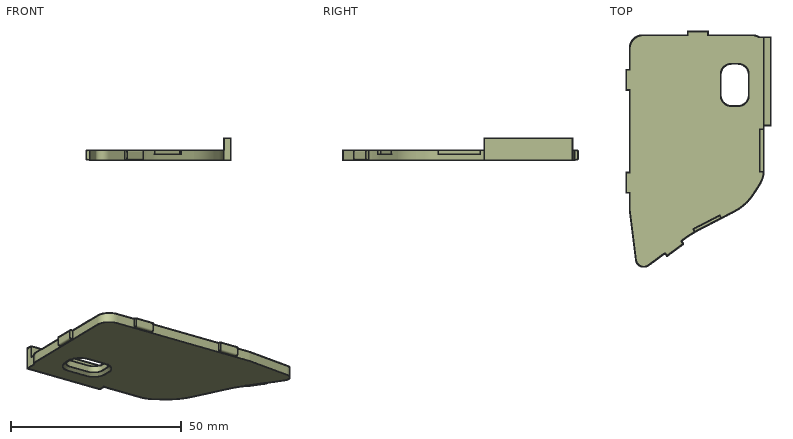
import cadquery as cq
import math

plate_thickness = 2.95
plate_width = 39.35
plate_top = 67.9

top_left = (0, plate_top)
top_right = (plate_width, plate_top)
right_bend = (plate_width, 26.05)
lower_bend = (34.2, 18.0)
inner_bend = (18.1, 9.7)
tip = (2.35, -1.9)
left_bend = (0, 16.7)
rounded_corners = [
    (top_left, 4.0),
    (top_right, 3.45),
    (right_bend, 8.0),
    (lower_bend, 15.0),
    (inner_bend, 24.8),
    (tip, 2.35),
]

bar_thickness = 2.1
bar_length = 25.9
bar_bottom = 41.35
bar_height = 6.5
bar_foot_overlap = 1.4

window_width = 8.1
window_length = 12.3
window_radius = 3.0
window_chamfer = 0.95
window_center = (30.8, 53.3)

tab_length = 6.0
tab_reach = 1.0
tab_root = 0.7
tab_rounding = 0.5
tab_bottom = 0.15
top_tab_x = 20
left_tab_ys = (54.7, 24.7)
lower_tab_distance = 12.95

step_depth = 1.25
side_step_width = 1.25
side_step_length = 12.35
side_step_bottom = 27.9
lower_step_width = 0.95
lower_step_length = 8.7
lower_step_distance = 5.45


def angle_between(start, end):
    """Direction from start to end, in degrees from +X."""
    return math.degrees(math.atan2(end[1] - start[1], end[0] - start[0]))


def point_along(start, end, distance):
    """Point at a distance from start toward end."""
    angle = math.radians(angle_between(start, end))
    return (start[0] + distance * math.cos(angle), start[1] + distance * math.sin(angle))


def place_on_edge(solid, point, angle):
    """Turn a solid whose local +Y points outward and move it to an edge point."""
    return solid.rotate((0, 0, 0), (0, 0, 1), angle).translate((point[0], point[1], 0))


def make_plate():
    outline = [top_left, top_right, right_bend, lower_bend, inner_bend, tip, left_bend]
    plate = cq.Workplane("XY").polyline(outline).close().extrude(plate_thickness)
    for (x, y), radius in rounded_corners:
        corner_edge = cq.selectors.NearestToPointSelector((x, y, plate_thickness / 2))
        plate = plate.edges("|Z").edges(corner_edge).fillet(radius)
    return plate


def make_tab():
    """Tab with rounded outer edges, its inner end sunk into the plate."""
    tab_height = plate_thickness - tab_bottom
    return (
        cq.Workplane("XY")
        .box(tab_length, tab_root + tab_reach, tab_height, centered=(True, False, False))
        .translate((0, -tab_root, tab_bottom))
        .edges(">Y and |X")
        .fillet(tab_rounding)
    )


def make_bar():
    foot_width = bar_thickness + bar_foot_overlap
    foot = cq.Workplane("XY").rect(foot_width, bar_length, centered=False).extrude(plate_thickness)
    wall = (
        cq.Workplane("XY")
        .rect(bar_thickness, bar_length, centered=False)
        .extrude(bar_height)
        .translate((bar_foot_overlap, 0, 0))
    )
    return foot.union(wall).translate((plate_width - bar_foot_overlap, bar_bottom, 0))


def make_window():
    window = (
        cq.Workplane("XY")
        .center(*window_center)
        .rect(window_width, window_length)
        .extrude(plate_thickness)
        .edges("|Z")
        .fillet(window_radius)
    )
    flare = (
        window
        .faces("<Z")
        .wires()
        .toPending()
        .workplane()
        .offset2D(window_chamfer)
        .extrude(-window_chamfer, taper=45)
    )
    return window.union(flare)


def make_step(length, width):
    """Cutter centred on an edge point, reaching inward by the step width."""
    return (
        cq.Workplane("XY")
        .workplane(offset=plate_thickness - step_depth)
        .rect(length, 2 * width)
        .extrude(step_depth)
    )


result = make_plate().union(make_bar()).cut(make_window())

side_step_point = (plate_width, side_step_bottom + side_step_length / 2)
side_step = make_step(side_step_length, side_step_width)
result = result.cut(place_on_edge(side_step, side_step_point, -90))

lower_step_point = point_along(inner_bend, lower_bend, lower_step_distance)
lower_step = make_step(lower_step_length, lower_step_width)
result = result.cut(place_on_edge(lower_step, lower_step_point, angle_between(inner_bend, lower_bend)))

result = result.union(place_on_edge(make_tab(), (top_tab_x, plate_top), 0))
for tab_y in left_tab_ys:
    result = result.union(place_on_edge(make_tab(), (0, tab_y), 90))

lower_tab_point = point_along(tip, inner_bend, lower_tab_distance)
result = result.union(place_on_edge(make_tab(), lower_tab_point, angle_between(inner_bend, tip)))